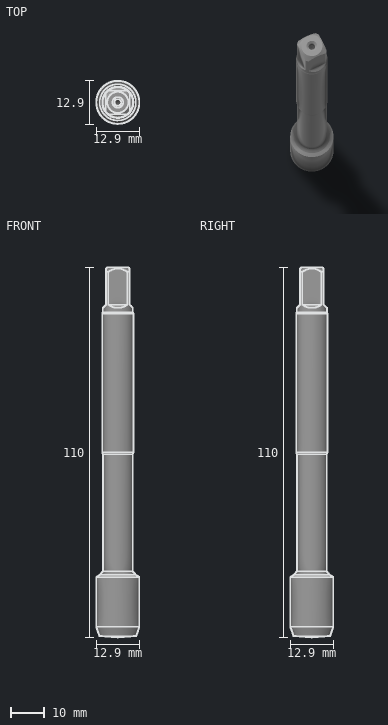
import cadquery as cq

total_length = 110.0
head_rim_height = 17.9
head_length = 18.6
lead_length = 3.2
tip_point_height = 0.4
shoulder_top = 19.7
grip_bottom = 55.1
grip_top = 96.2
grip_bottom_chamfer_height = 0.7
grip_top_chamfer_height = 0.3
square_bottom = 98.9

head_diameter = 12.9
lead_tip_diameter = 11.0
shoulder_diameter = 10.8
neck_diameter = 8.9
shank_diameter = 9.4
drive_diameter = 9.0
drive_tip_diameter = 6.3

square_width = 7.0
centre_mouth_diameter = 3.2
centre_hole_diameter = 2.0
centre_hole_depth = 2.2
centre_point_depth = 0.5


def revolve_profile(outline):
    """Turn a closed (radius, height) outline about the Z axis."""
    return cq.Workplane("XZ").polyline(outline).close().revolve(360, (0, 0, 0), (0, 1, 0))


def make_head():
    """Cylindrical cutting head with a tapered back, a tapered lead and a shallow point."""
    head_radius = head_diameter / 2
    tip_radius = lead_tip_diameter / 2
    return revolve_profile([
        (0, 0),
        (tip_radius, tip_point_height),
        (head_radius, lead_length),
        (head_radius, head_rim_height),
        (shoulder_diameter / 2, head_length),
        (0, head_length),
    ])


def make_turned_shank():
    """Round shank: shoulder on the head, neck, thicker grip and drive end."""
    shoulder_radius = shoulder_diameter / 2
    neck_radius = neck_diameter / 2
    shank_radius = shank_diameter / 2
    drive_radius = drive_diameter / 2
    drive_tip_radius = drive_tip_diameter / 2
    drive_chamfer = drive_radius - drive_tip_radius
    return revolve_profile([
        (0, head_length),
        (shoulder_radius, head_length),
        (neck_radius, shoulder_top),
        (neck_radius, grip_bottom - grip_bottom_chamfer_height),
        (shank_radius, grip_bottom),
        (shank_radius, grip_top),
        (drive_radius, grip_top + grip_top_chamfer_height),
        (drive_radius, total_length - drive_chamfer),
        (drive_tip_radius, total_length),
        (0, total_length),
    ])


def make_flat_cutter():
    """Cutter for one flat on the +X side, with a 45 degree run-out at its foot."""
    flat_distance = square_width / 2
    cutter_reach = drive_diameter
    run_out = cutter_reach - flat_distance
    return (
        cq.Workplane("XZ")
        .polyline([
            (flat_distance, total_length),
            (flat_distance, square_bottom),
            (cutter_reach, square_bottom - run_out),
            (cutter_reach, total_length),
        ])
        .close()
        .extrude(drive_diameter / 2, both=True)
    )


def make_centre_hole():
    """Centre hole in the drive end: 45 degree countersink above a blind bore with a conical end."""
    mouth_radius = centre_mouth_diameter / 2
    hole_radius = centre_hole_diameter / 2
    countersink_depth = mouth_radius - hole_radius
    return revolve_profile([
        (0, total_length),
        (mouth_radius, total_length),
        (hole_radius, total_length - countersink_depth),
        (hole_radius, total_length - centre_hole_depth),
        (0, total_length - centre_hole_depth - centre_point_depth),
    ])


def make_shank():
    """Turned shank with four drive flats and a centre hole."""
    shank = make_turned_shank()
    for flat_index in range(4):
        shank = shank.cut(make_flat_cutter().rotate((0, 0, 0), (0, 0, 1), 90 * flat_index))
    return shank.cut(make_centre_hole())


head = make_head()
shank = make_shank()

result = cq.Compound.makeCompound([head.val(), shank.val()])